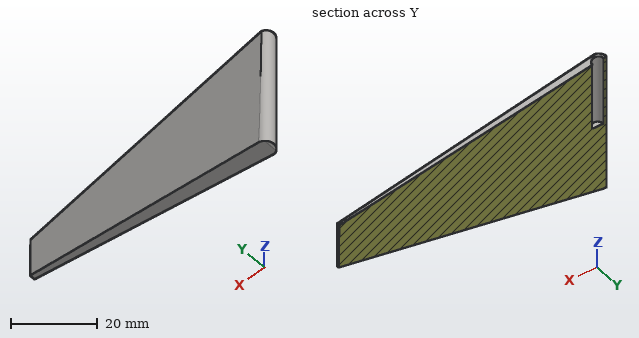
import cadquery as cq
import math

length = 75.8
root_height = 40.0
root_thickness = 5.0

tip_height = 13.0
tip_thickness = 1.7
flat_end_length = 1.0
draft_angle = 0.24

pin_hole_diameter = 3.0
pin_hole_depth = root_height / 2

axis_x = root_thickness / 2
slope_drop = (root_height - tip_height) / 2
root_overhang = 1.5


def drafted_wedge():
    """Wedge thinning from root to tip, with draft on its sides, reaching past the round edge."""
    half_root = root_thickness / 2
    half_tip = tip_thickness / 2
    foot_length = length + slope_drop * math.tan(math.radians(draft_angle))
    side_slope = (half_root - half_tip) / (foot_length - axis_x)
    half_start = half_root + side_slope * (axis_x + root_overhang)
    return (
        cq.Workplane("XY")
        .moveTo(-root_overhang, -half_start)
        .lineTo(foot_length, -half_tip)
        .lineTo(foot_length, half_tip)
        .lineTo(-root_overhang, half_start)
        .close()
        .extrude(root_height, taper=draft_angle)
    )


def round_ended_block():
    """Upright block whose root end is a half cylinder about the pin hole's axis."""
    half_root = root_thickness / 2
    return (
        cq.Workplane("XY")
        .moveTo(axis_x, half_root)
        .threePointArc((0, 0), (axis_x, -half_root))
        .lineTo(length, -half_root)
        .lineTo(length, half_root)
        .close()
        .extrude(root_height)
    )


def side_outline():
    """Side outline in XZ, narrowing equally from above and below, through the full thickness."""
    return (
        cq.Workplane("XZ")
        .moveTo(0, 0)
        .lineTo(flat_end_length, 0)
        .lineTo(length, slope_drop)
        .lineTo(length, root_height - slope_drop)
        .lineTo(flat_end_length, root_height)
        .lineTo(0, root_height)
        .close()
        .extrude(root_thickness / 2, both=True)
    )


def pin_hole():
    """Blind hole on the cylinder's axis, open at the top."""
    return (
        cq.Workplane("XY", origin=(axis_x, 0, root_height - pin_hole_depth))
        .circle(pin_hole_diameter / 2)
        .extrude(pin_hole_depth)
    )


result = drafted_wedge().intersect(round_ended_block()).intersect(side_outline()).cut(pin_hole())